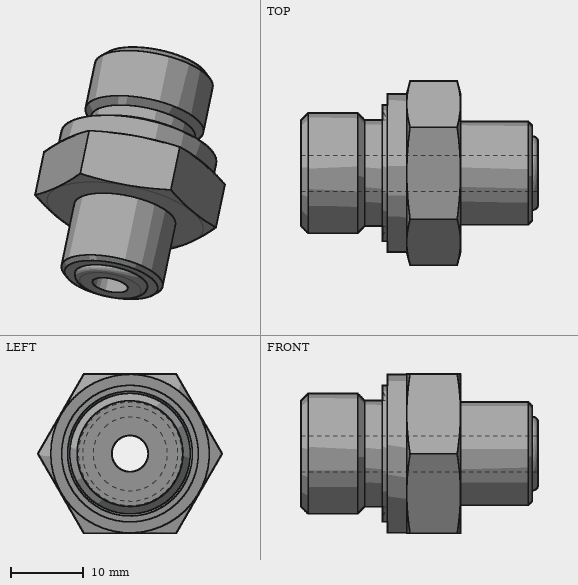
import cadquery as cq
import math

hex_across_flats = 22.0
hex_start = 14.6
hex_width = 7.43
hex_end = hex_start + hex_width
hex_middle = hex_start + hex_width / 2
hex_chamfer_angle = 15
hex_face_radius = 10.95
hex_corner_radius = hex_across_flats / math.sqrt(3)
envelope_margin = 0.33

stud_radius = 8.3
stud_chamfer = 1.0
neck_radius = 7.33
neck_taper_start = 7.82
neck_start = neck_taper_start + stud_radius - neck_radius

seal_lip_start = 11.25
seal_lip_radius = 9.42
seal_recess_radius = 8.6
seal_recess_depth = 0.65
collar_start = 11.95
collar_radius = 10.93

total_length = 32.7
spigot_radius = 7.13
spigot_chamfer = 0.6
nose_radius = 5.1
nose_length = 0.8
spigot_end = total_length - nose_length

bore_radius = 2.5


def revolve_about_x(profile):
    """Turn a closed profile drawn as (x, radius) about the X axis."""
    return profile.close().revolve(360, (0, 0, 0), (1, 0, 0))


def make_turned_body():
    """Stud, neck, collar, spigot and nose as one turned solid."""
    arc_offset = nose_length * math.cos(math.pi / 4)
    arc_center_radius = nose_radius - nose_length
    profile = (
        cq.Workplane("XY")
        .moveTo(0, 0)
        .lineTo(0, stud_radius - stud_chamfer)
        .lineTo(stud_chamfer, stud_radius)
        .lineTo(neck_taper_start, stud_radius)
        .lineTo(neck_start, neck_radius)
        .lineTo(seal_lip_start + seal_recess_depth, neck_radius)
        .lineTo(seal_lip_start, seal_recess_radius)
        .lineTo(seal_lip_start, seal_lip_radius)
        .lineTo(collar_start, seal_lip_radius)
        .lineTo(collar_start, collar_radius)
        .lineTo(hex_middle, collar_radius)
        .lineTo(hex_middle, spigot_radius)
        .lineTo(spigot_end - spigot_chamfer, spigot_radius)
        .lineTo(spigot_end, spigot_radius - spigot_chamfer)
        .lineTo(spigot_end, nose_radius)
        .threePointArc(
            (spigot_end + arc_offset, arc_center_radius + arc_offset),
            (total_length, arc_center_radius),
        )
        .lineTo(total_length, 0)
    )
    return revolve_about_x(profile)


def make_hexagon():
    """Hexagonal prism with its corners chamfered by a cone at both ends."""
    prism = (
        cq.Workplane("YZ", origin=(hex_start, 0, 0))
        .polygon(6, 2 * hex_corner_radius)
        .extrude(hex_width)
    )
    envelope_radius = hex_corner_radius + envelope_margin
    cone_depth = (envelope_radius - hex_face_radius) * math.tan(math.radians(hex_chamfer_angle))
    envelope = revolve_about_x(
        cq.Workplane("XY")
        .moveTo(hex_start, 0)
        .lineTo(hex_start, hex_face_radius)
        .lineTo(hex_start + cone_depth, envelope_radius)
        .lineTo(hex_end - cone_depth, envelope_radius)
        .lineTo(hex_end, hex_face_radius)
        .lineTo(hex_end, 0)
    )
    return prism.intersect(envelope)


def make_bore():
    """Round passage through the full length."""
    return cq.Workplane("YZ").circle(bore_radius).extrude(total_length)


result = make_turned_body().union(make_hexagon()).cut(make_bore())